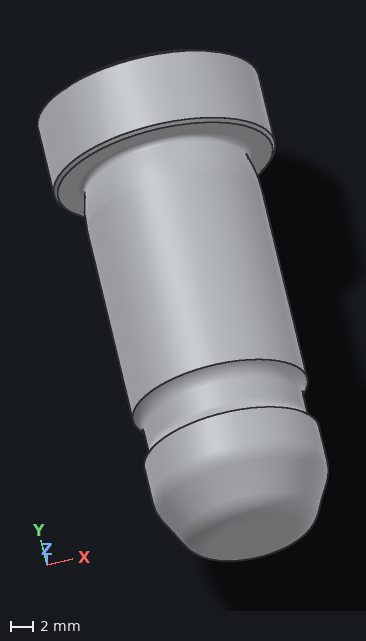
import cadquery as cq
import math

length = 44.8
head_radius = 10.25
head_length = 7.8
head_chamfer_width = 1.25
head_chamfer_length = 0.7
head_rim_chamfer = 0.3

shank_radius = 8.1
neck_radius = 7.55
neck_fillet = 0.5
neck_land = 0.15
crown_end = 11.83

groove_radius = 7.4
groove_start = 30.8
groove_end = 35.6
groove_floor_length = 2.05

nose_start = 39.1
shoulder_radius = 3.0
tip_radius = 2.55
nose_half_angle = math.radians(26.5)


def at(radius, distance):
    """Profile point at a radius and a distance from the head face."""
    return (radius, length / 2 - distance)


def tangent_arc_mid(tangent_radius, tangent_distance, end_radius, end_distance):
    """Middle of an arc that is parallel to the axis at its first point."""
    rise = end_radius - tangent_radius
    run = end_distance - tangent_distance
    signed_radius = (rise**2 + run**2) / (2 * rise)
    half_sweep = math.atan2(abs(rise), abs(run))
    return at(
        tangent_radius + signed_radius * (1 - math.cos(half_sweep)),
        tangent_distance + math.copysign(abs(signed_radius) * math.sin(half_sweep), run),
    )


fillet_end = head_length + neck_fillet
crown_start = fillet_end + neck_land

wall_length = (groove_end - groove_start - groove_floor_length) / 2
floor_start = groove_start + wall_length
floor_end = groove_end - wall_length

sine = math.sin(nose_half_angle)
cosine = math.cos(nose_half_angle)
half_shoulder = nose_half_angle / 2
cone_start = nose_start + shoulder_radius * sine
cone_end = length - tip_radius * (1 - sine)
cone_start_radius = shank_radius - shoulder_radius * (1 - cosine)
cone_end_radius = cone_start_radius - (cone_end - cone_start) * math.tan(nose_half_angle)
tip_flat_radius = cone_end_radius - tip_radius * cosine
tip_mid_angle = (nose_half_angle + math.pi / 2) / 2
shoulder_mid = at(
    shank_radius - shoulder_radius * (1 - math.cos(half_shoulder)),
    nose_start + shoulder_radius * math.sin(half_shoulder),
)
tip_mid = at(
    tip_flat_radius + tip_radius * math.cos(tip_mid_angle),
    length - tip_radius * (1 - math.sin(tip_mid_angle)),
)

profile = (
    cq.Workplane("XY")
    .moveTo(*at(0, 0))
    .lineTo(*at(head_radius - head_chamfer_width, 0))
    .lineTo(*at(head_radius, head_chamfer_length))
    .lineTo(*at(head_radius, head_length - head_rim_chamfer))
    .lineTo(*at(head_radius - head_rim_chamfer, head_length))
    .lineTo(*at(neck_radius + neck_fillet, head_length))
    .threePointArc(
        tangent_arc_mid(neck_radius, fillet_end, neck_radius + neck_fillet, head_length),
        at(neck_radius, fillet_end),
    )
    .lineTo(*at(neck_radius, crown_start))
    .threePointArc(
        tangent_arc_mid(shank_radius, crown_end, neck_radius, crown_start),
        at(shank_radius, crown_end),
    )
    .lineTo(*at(shank_radius, groove_start))
    .threePointArc(
        tangent_arc_mid(groove_radius, floor_start, shank_radius, groove_start),
        at(groove_radius, floor_start),
    )
    .lineTo(*at(groove_radius, floor_end))
    .threePointArc(
        tangent_arc_mid(groove_radius, floor_end, shank_radius, groove_end),
        at(shank_radius, groove_end),
    )
    .lineTo(*at(shank_radius, nose_start))
    .threePointArc(shoulder_mid, at(cone_start_radius, cone_start))
    .lineTo(*at(cone_end_radius, cone_end))
    .threePointArc(tip_mid, at(tip_flat_radius, length))
    .lineTo(*at(0, length))
    .close()
)

result = profile.revolve(360, (0, 0, 0), (0, 1, 0))